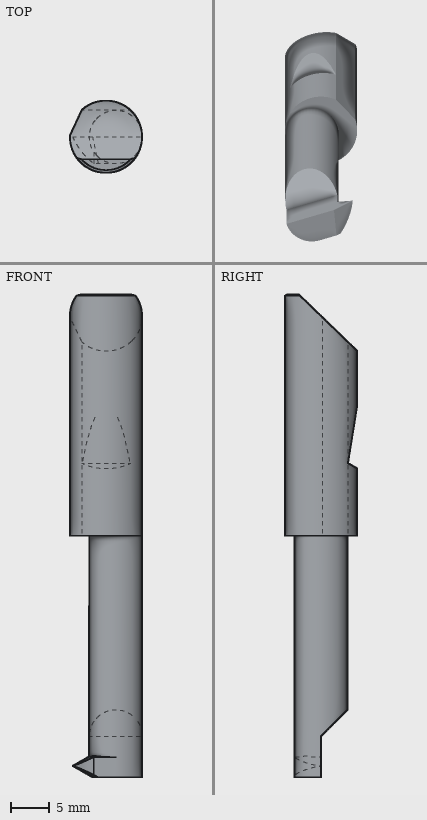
import cadquery as cq
import math

total_length = 63.5
shank_diameter = 9.525
shank_radius = shank_diameter / 2
shank_bottom = total_length / 2
rim_chamfer_width = 0.38
rim_chamfer_height = 0.2

flat_depth = 0.381
flat_direction = 155.0

slope_start_y = -2.95
slope_angle = 44.0

notch_top = 48.8
notch_ramp_length = 7.5
notch_depth = 1.2
notch_bottom_rise = 0.7

neck_diameter = 7.0
neck_radius = neck_diameter / 2
neck_x = shank_radius - neck_radius

relief_height = 5.4
relief_angle = 45.0

tooth_tip_x = -4.38
tooth_tip_z = 1.5
tooth_heel_x = -1.63
tooth_bulge = 0.3
flank_angle = 30.0
side_clearance_angle = 7.0

cutter_size = 4 * shank_diameter


def make_shank():
    """Cylinder with a chamfered top rim."""
    shank = cq.Workplane("XY").workplane(offset=shank_bottom).circle(shank_radius)
    shank = shank.extrude(total_length - shank_bottom)
    return shank.faces(">Z").chamfer(rim_chamfer_height, rim_chamfer_width)


def cut_side_flat(body):
    cutter = (
        cq.Workplane("XY")
        .box(cutter_size, cutter_size, total_length, centered=(False, True, False))
        .translate((shank_radius - flat_depth, 0, 0))
        .rotate((0, 0, 0), (0, 0, 1), flat_direction)
    )
    return body.cut(cutter)


def yz_prism(points):
    """Prism along X with an outline of (y, z) points, wider than the part."""
    return cq.Workplane("YZ").polyline(points).close().extrude(cutter_size / 2, both=True)


def cut_top_slope(body):
    run = cutter_size
    drop = run * math.tan(math.radians(slope_angle))
    end_y = slope_start_y + run
    return body.cut(
        yz_prism(
            [
                (slope_start_y, total_length),
                (end_y, total_length),
                (end_y, total_length - drop),
            ]
        )
    )


def cut_clamping_notch(body):
    """Shallow ramp and short steep wall meeting at the root; both run on as far again outside the shank."""
    root_y = shank_radius - notch_depth
    root_z = notch_top - notch_ramp_length
    outer_y = shank_radius + notch_depth
    return body.cut(
        yz_prism(
            [
                (root_y, root_z),
                (outer_y, root_z + 2 * notch_ramp_length),
                (outer_y, root_z - 2 * notch_bottom_rise),
            ]
        )
    )


def make_neck():
    """Full cylinder above, half cylinder below, joined by a sloped run-out."""
    neck = cq.Workplane("XY").center(neck_x, 0).circle(neck_radius).extrude(shank_bottom)
    run = 2 * neck_radius
    rise = run * math.tan(math.radians(relief_angle))
    relief = yz_prism([(0, 0), (run, 0), (run, relief_height + rise), (0, relief_height)])
    return neck.cut(relief)


def make_tooth_blank():
    """Prism with the tooth plan: rake face on y = 0, curved clearance and flat front face."""
    return (
        cq.Workplane("XY")
        .moveTo(neck_x, 0)
        .lineTo(tooth_tip_x, 0)
        .sagittaArc((tooth_heel_x, -neck_radius), -tooth_bulge)
        .lineTo(neck_x, -neck_radius)
        .close()
        .extrude(shank_bottom)
    )


def half_space(point, normal):
    """Large block whose base plane passes through point, on the side that normal points to."""
    plane = cq.Plane(origin=point, normal=normal)
    return cq.Workplane(plane).rect(cutter_size, cutter_size).extrude(cutter_size)


tan_flank = math.tan(math.radians(flank_angle))
tan_clearance = math.tan(math.radians(side_clearance_angle))
tooth_tip = (tooth_tip_x, 0, tooth_tip_z)


def cut_tooth_top(tooth):
    """Upper flank rising from the tip to the heel, then a top that is level along X."""
    top_z = tooth_tip_z + (tooth_heel_x - tooth_tip_x) * tan_flank
    upper_flank = half_space(tooth_tip, (-tan_flank, -tan_clearance, 1))
    top = half_space((tooth_heel_x, 0, top_z), (0, -tan_clearance, 1))
    return tooth.cut(upper_flank).cut(top)


def cut_lower_flank(body):
    """Lower flank from the tip down to the bottom face, trimming tooth and neck alike."""
    return body.cut(half_space(tooth_tip, (-tan_flank, -tan_clearance, -1)))


shank = make_shank()
shank = cut_side_flat(shank)
shank = cut_top_slope(shank)
shank = cut_clamping_notch(shank)

tooth = cut_tooth_top(make_tooth_blank())
neck = cut_lower_flank(make_neck().union(tooth))

result = shank.union(neck)